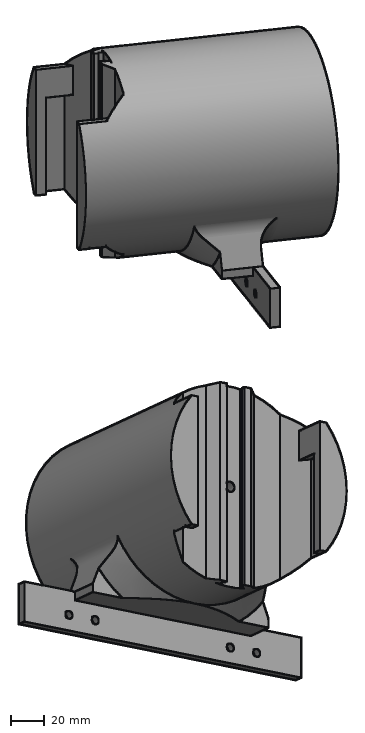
import cadquery as cq
import math

radius = 63.56
length = 158.8
floor_y = -127.1
bore_diameter = 6.5
overlap = 2.0

arm_half_height = 40.8
recess_half_width = 48.8
left_floor_edge = -33.8
right_floor_edge = 36.2
left_slope_depth = 12.5
right_slope_depth = 14.6
lip_half_width = 44.0
lip_thickness = 6.5
stop_bottom_z = 22.0

rail_height = 6.2
rail_gap_half = 6.5
rail_undercut_half = 7.2
undercut_height = 3.2
rail_flat_half = 10.0
rail_top_half = 11.2
rail_base_half = 17.5

plate_width = 200.2
plate_height = 25.5
plate_thickness = 6.2
plate_bottom_z = -83.5
plate_back_y = -47.5
plate_hole_diameter = 5.0
plate_hole_z = -73.5
plate_hole_offsets = (48.8, 67.9)

flare_radius = 76.3
saddle_front_y = -73.3
cone_front_y = -88.3
saddle_top_z = -27.2
saddle_waist = (55.3, -32.5)
saddle_bend = (55.9, -38.8)

plate_top_z = plate_bottom_z + plate_height
plate_front_y = plate_back_y - plate_thickness
rail_front_y = floor_y - rail_height


def box(x_min, x_max, y_min, y_max, z_min, z_max):
    """Box between opposite corners."""
    size = (x_max - x_min, y_max - y_min, z_max - z_min)
    return cq.Workplane("XY").box(*size, centered=False).translate((x_min, y_min, z_min))


def rod(rod_radius):
    """Full-length cylinder along the main axis."""
    return cq.Workplane("XZ").circle(rod_radius).extrude(length)


def upright(points):
    """Plan outline extruded over the full height of the cylinder."""
    return cq.Workplane("XY", origin=(0, 0, -radius)).polyline(points).close().extrude(2 * radius)


def front_recess():
    """Space between the arms, with sloped flanks running back to the floor."""
    return upright([
        (-recess_half_width, -length),
        (-recess_half_width, floor_y - left_slope_depth),
        (left_floor_edge, floor_y),
        (right_floor_edge, floor_y),
        (recess_half_width, floor_y - right_slope_depth),
        (recess_half_width, -length),
    ])


def arm_lining(side):
    """Front lip and upper stop that frame the slot inside one arm."""
    x_min, x_max = sorted((side * lip_half_width, side * (recess_half_width + overlap)))
    lip = box(x_min, x_max, -length, -length + lip_thickness, -arm_half_height, arm_half_height)
    stop = box(x_min, x_max, -length, floor_y, stop_bottom_z, arm_half_height)
    return lip.union(stop)


def rail(side):
    """Rail with a sloped outer flank and an undercut inner flank."""
    undercut_y = floor_y - undercut_height
    profile = [
        (rail_undercut_half, floor_y + overlap),
        (rail_undercut_half, undercut_y),
        (rail_gap_half, undercut_y),
        (rail_gap_half, rail_front_y),
        (rail_top_half, rail_front_y),
        (rail_base_half, floor_y),
        (rail_base_half, floor_y + overlap),
    ]
    return upright([(side * x, y) for x, y in profile])


def saddle_block(back_y, front_y, bottom_z):
    """Waisted saddle outline, flat at the bottom, between two Y positions."""
    waist_x, waist_z = saddle_waist
    bend_x, bend_z = saddle_bend
    top_x = math.sqrt(radius**2 - saddle_top_z**2)
    return (
        cq.Workplane("XZ", origin=(0, back_y, 0))
        .moveTo(-top_x, saddle_top_z)
        .lineTo(top_x, saddle_top_z)
        .threePointArc((waist_x, waist_z), (bend_x, bend_z))
        .lineTo(radius, plate_top_z)
        .lineTo(radius, bottom_z)
        .lineTo(-radius, bottom_z)
        .lineTo(-radius, plate_top_z)
        .lineTo(-bend_x, bend_z)
        .threePointArc((-waist_x, waist_z), (-top_x, saddle_top_z))
        .close()
        .extrude(back_y - front_y)
    )


def back_flare():
    """Concave fillet from the cylinder to the back of the plate."""
    reach = flare_radius - radius
    start_y = plate_back_y + reach
    diagonal = reach * math.sqrt(0.5)
    flare = (
        cq.Workplane("XY")
        .moveTo(0, start_y)
        .lineTo(radius, start_y)
        .threePointArc((flare_radius - diagonal, start_y - diagonal), (flare_radius, plate_back_y))
        .lineTo(0, plate_back_y)
        .close()
        .revolve(360, (0, 0, 0), (0, 1, 0))
    )
    return flare.intersect(saddle_block(start_y, plate_back_y, -flare_radius))


def front_flare():
    """Cone from the front end of the saddle down to the cylinder."""
    cone = (
        cq.Workplane("XY")
        .moveTo(0, saddle_front_y)
        .lineTo(flare_radius, saddle_front_y)
        .lineTo(radius, cone_front_y)
        .lineTo(0, cone_front_y)
        .close()
        .revolve(360, (0, 0, 0), (0, 1, 0))
    )
    return cone.intersect(saddle_block(saddle_front_y, cone_front_y, -radius))


def mounting_plate():
    """Flat plate with two screw holes at each end."""
    half_width = plate_width / 2
    plate = box(-half_width, half_width, plate_front_y, plate_back_y, plate_bottom_z, plate_top_z)
    hole_centres = [(side * x, plate_hole_z) for side in (-1, 1) for x in plate_hole_offsets]
    holes = cq.Workplane("XZ").pushPoints(hole_centres).circle(plate_hole_diameter / 2).extrude(length)
    return plate.cut(holes)


body = rod(radius).cut(front_recess())
for side in (-1, 1):
    body = body.union(arm_lining(side).intersect(rod(radius)))
    body = body.union(rail(side).intersect(rod(radius)))

rail_end_z = math.sqrt(radius**2 - rail_flat_half**2)
for z_min in (-radius, rail_end_z):
    z_max = z_min + radius - rail_end_z
    body = body.cut(box(-rail_flat_half, rail_flat_half, rail_front_y, floor_y, z_min, z_max))

body = body.union(saddle_block(plate_back_y, saddle_front_y, -radius))
body = body.union(back_flare()).union(front_flare()).union(mounting_plate())

result = body.cut(rod(bore_diameter / 2))